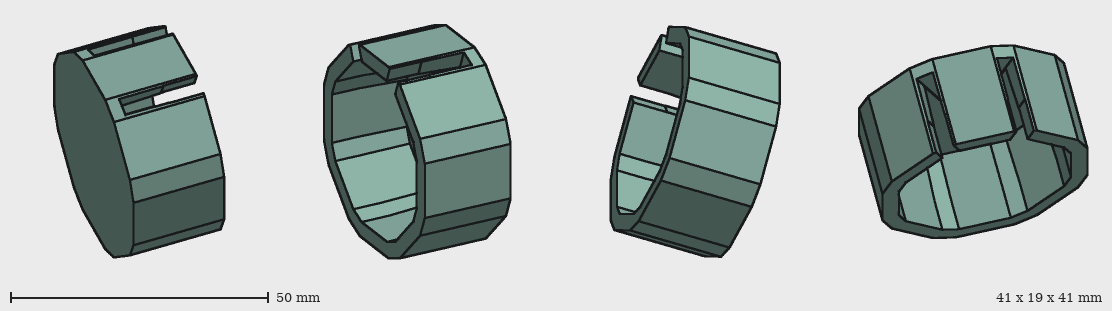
import cadquery as cq
import math

LENGTH = 19.0
FLAT_DISTANCE = 20.5
CORNER_DISTANCE = 21.17
MOUTH_WALL = 3.3
FLOOR_WALL = 4.0
STRAIGHT_DEPTH = 6.1
CAVITY_DEPTH = 16.15
SLOT_DEPTH = 16.3

SLOT_MOUTH_WIDTH = 3.76
LEDGE_DEPTH = 7.0
LEDGE_OUTER_WIDTH = 3.72
LEDGE_INNER_WIDTH = 3.62
SLOT_END_WIDTH = 3.5
SLOT_ANGLE = 22.3

SIDES = 8
HALF_STEP = 180.0 / SIDES
MOUTH_Y = LENGTH / 2
SLOT_REACH = CORNER_DISTANCE + FLOOR_WALL


def outline(inset):
    """Corner points of the octagon with flattened corners, moved inward by inset."""
    flat = FLAT_DISTANCE - inset
    corner = CORNER_DISTANCE - inset
    half_step = math.radians(HALF_STEP)
    half_width = (corner - flat * math.cos(half_step)) / math.sin(half_step)
    radius = math.hypot(flat, half_width)
    spread = math.degrees(math.atan2(half_width, flat))
    points = []
    for side in range(SIDES):
        for offset in (-spread, spread):
            angle = math.radians(side * 2 * HALF_STEP + offset)
            points.append((radius * math.cos(angle), radius * math.sin(angle)))
    return points


def section(y, inset):
    """Closed outline drawn on the plane across the axis at the given y."""
    plane = cq.Workplane("XZ", origin=(0, y, 0))
    return plane.polyline(outline(inset)).close()


def tapered_cavity():
    """Inner part of the cavity, narrowing from the straight part to the floor."""
    start = section(MOUTH_Y - STRAIGHT_DEPTH, MOUTH_WALL).wire().val()
    end = section(MOUTH_Y - CAVITY_DEPTH, FLOOR_WALL).wire().val()
    return cq.Workplane(cq.Solid.makeLoft([start, end], True))


def slot(angle):
    """Cutter for a narrowing slot with a small ledge in each wall, open at the mouth."""
    half_profile = [
        (SLOT_MOUTH_WIDTH / 2, MOUTH_Y),
        (SLOT_MOUTH_WIDTH / 2, MOUTH_Y - STRAIGHT_DEPTH),
        (LEDGE_OUTER_WIDTH / 2, MOUTH_Y - LEDGE_DEPTH),
        (LEDGE_INNER_WIDTH / 2, MOUTH_Y - LEDGE_DEPTH),
        (SLOT_END_WIDTH / 2, MOUTH_Y - SLOT_DEPTH),
    ]
    mirrored = [(-x, y) for x, y in reversed(half_profile)]
    cutter = cq.Workplane("XY").polyline(half_profile + mirrored).close().extrude(SLOT_REACH)
    return cutter.rotate((0, 0, 0), (0, 1, 0), angle)


body = section(MOUTH_Y, 0).extrude(LENGTH)
straight_cavity = section(MOUTH_Y, MOUTH_WALL).extrude(STRAIGHT_DEPTH)
result = body.cut(straight_cavity).cut(tapered_cavity())
for slot_angle in (-SLOT_ANGLE, SLOT_ANGLE):
    result = result.cut(slot(slot_angle))